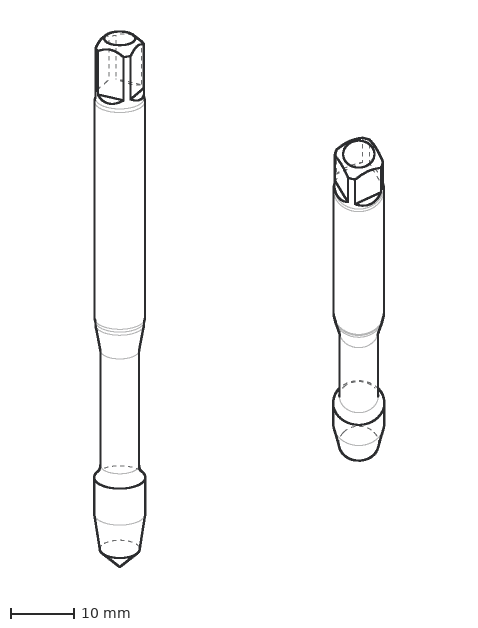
import cadquery as cq
import math


total_length = 93.1
shank_diameter = 8.0
relief_diameter = 7.7
neck_diameter = 6.1
thread_diameter = 8.1
point_diameter = 6.3
square_width = 6.2
square_top_diameter = 4.9

lead_top_z = 9.4
thread_top_z = 15.8
runout_radius = 2.8
neck_top_z = 38.2
taper_top_z = 42.7
shank_bottom_z = 43.85
shank_top_z = 82.0
shank_chamfer_height = 0.6
ledge_bottom_z = 83.3
ledge_angle = 45.0

shank_radius = shank_diameter / 2
relief_radius = relief_diameter / 2
neck_radius = neck_diameter / 2
thread_radius = thread_diameter / 2
point_radius = point_diameter / 2
square_top_radius = square_top_diameter / 2
half_square = square_width / 2
point_height = point_radius

runout_rise = thread_radius - neck_radius
runout_height = math.sqrt(runout_radius**2 - (runout_radius - runout_rise)**2)
runout_top_z = thread_top_z + runout_height
half_runout_angle = math.asin(runout_height / runout_radius) / 2
runout_mid = (
    neck_radius + runout_radius * (1 - math.cos(half_runout_angle)),
    runout_top_z - runout_radius * math.sin(half_runout_angle),
)


def revolve_about_axis(profile):
    """Revolve a closed (radius, height) profile about the Z axis."""
    return profile.revolve(360, (0, 0, 0), (0, 1, 0))


def make_drive_square_cutter():
    """Ring that trims the shank end to a square, with a 45 degree ledge at the foot of each flat."""
    base = cq.Workplane("XY").workplane(offset=ledge_bottom_z)
    height = total_length - ledge_bottom_z
    ledge_height = relief_radius - half_square
    block = base.circle(shank_diameter).extrude(height)
    square = base.rect(square_width, square_width).extrude(height)
    ledges = base.rect(relief_diameter, relief_diameter).extrude(ledge_height, taper=ledge_angle)
    return block.cut(square.union(ledges))


def make_shank():
    """Neck, taper, shank and chamfered drive square."""
    square_chamfer = relief_radius - square_top_radius
    profile = (
        cq.Workplane("XZ")
        .moveTo(0, thread_top_z)
        .lineTo(thread_radius, thread_top_z)
        .threePointArc(runout_mid, (neck_radius, runout_top_z))
        .lineTo(neck_radius, neck_top_z)
        .lineTo(relief_radius, taper_top_z)
        .lineTo(relief_radius, shank_bottom_z - shank_chamfer_height)
        .lineTo(shank_radius, shank_bottom_z)
        .lineTo(shank_radius, shank_top_z)
        .lineTo(relief_radius, shank_top_z + shank_chamfer_height)
        .lineTo(relief_radius, total_length - square_chamfer)
        .lineTo(square_top_radius, total_length)
        .lineTo(0, total_length)
        .close()
    )
    return revolve_about_axis(profile).cut(make_drive_square_cutter()).solids()


def make_threading_head():
    """Cylindrical thread envelope, lead taper and conical point."""
    profile = (
        cq.Workplane("XZ")
        .moveTo(0, 0)
        .lineTo(point_radius, point_height)
        .lineTo(thread_radius, lead_top_z)
        .lineTo(thread_radius, thread_top_z)
        .lineTo(0, thread_top_z)
        .close()
    )
    return revolve_about_axis(profile)


shank = make_shank()
threading_head = make_threading_head()

result = cq.Compound.makeCompound([shank.val(), threading_head.val()])